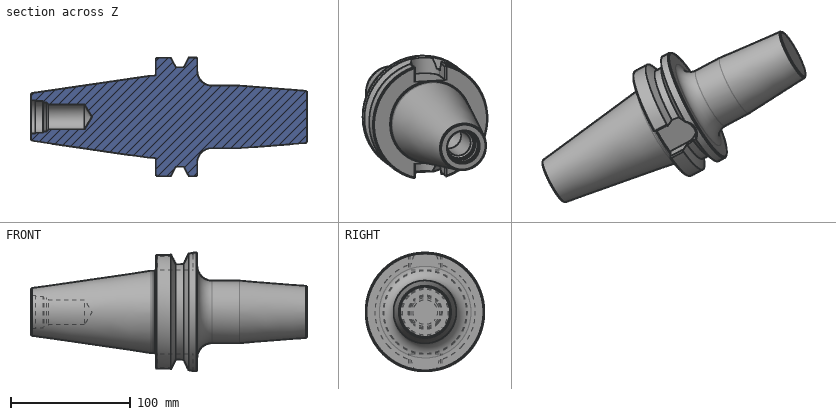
import cadquery as cq
import math

LENGTH = 231.8

TAPER_RATE = 7 / 24
GAUGE_X = 101.8
GAUGE_DIA = 69.8
TAPER_END_X = 100.5
SHANK_CHAMFER = 1.0

RELIEF_DIA = 69.3
RELIEF_START_X = 102.0
RELIEF_END_X = 103.5
FLANGE_ROOT_DIA = 70.7

FLANGE_DIA = 100.0
FLANGE_FRONT_X = 104.8
FLANGE_BACK_X = 139.8
FLANGE_CHAMFER = 1.0
GROOVE_DIA = 84.1
GROOVE_CENTER_X = 125.0
GROOVE_FLOOR_WIDTH = 6.5
GROOVE_TOP_WIDTH = 14.8
GROOVE_START_X = GROOVE_CENTER_X - GROOVE_TOP_WIDTH / 2
GROOVE_END_X = GROOVE_CENTER_X + GROOVE_TOP_WIDTH / 2

NOSE_DIA = 52.9
NOSE_FILLET = 12.0
NOSE_CONE_X = 175.0
NOSE_CONE_ANGLE = 4.5
NOSE_CHAMFER = 1.0

SLOT_WIDTH = 25.5
SLOT_FLOOR_Z = 35.2
SLOT_CHAMFER = 1.5
SLOT_END_X = 135.8

MOUTH_DIA = 28.7
MOUTH_DEPTH = 0.5
RECESS_DIA = 27.8
RECESS_DEPTH = 3.5
PILOT_DIA = 26.5
PILOT_DEPTH = 9.7
NECK_DIA = 24.0
NECK_START_DEPTH = 10.7
NECK_END_DEPTH = 13.0
THREAD_DIA = 20.6
BORE_DEPTH = 45.0
DRILL_TIP_ANGLE = 118


def make_body():
    """Revolve the outer profile about the X axis."""
    shank_radius = (GAUGE_DIA - GAUGE_X * TAPER_RATE) / 2
    taper_end_radius = (GAUGE_DIA - (GAUGE_X - TAPER_END_X) * TAPER_RATE) / 2
    flange_radius = FLANGE_DIA / 2
    nose_radius = NOSE_DIA / 2
    nose_slope = math.tan(math.radians(NOSE_CONE_ANGLE))
    tip_radius = nose_radius - (LENGTH - NOSE_CONE_X) * nose_slope
    arc_offset = NOSE_FILLET * (1 - math.sqrt(0.5))
    profile = (
        cq.Workplane("XY")
        .moveTo(0, 0)
        .lineTo(0, shank_radius - SHANK_CHAMFER)
        .lineTo(SHANK_CHAMFER, shank_radius + SHANK_CHAMFER * TAPER_RATE / 2)
        .lineTo(TAPER_END_X, taper_end_radius)
        .lineTo(RELIEF_START_X, RELIEF_DIA / 2)
        .lineTo(RELIEF_END_X, RELIEF_DIA / 2)
        .lineTo(FLANGE_FRONT_X, FLANGE_ROOT_DIA / 2)
        .lineTo(FLANGE_FRONT_X, flange_radius - FLANGE_CHAMFER)
        .lineTo(FLANGE_FRONT_X + FLANGE_CHAMFER, flange_radius)
        .lineTo(GROOVE_START_X, flange_radius)
        .lineTo(GROOVE_CENTER_X - GROOVE_FLOOR_WIDTH / 2, GROOVE_DIA / 2)
        .lineTo(GROOVE_CENTER_X + GROOVE_FLOOR_WIDTH / 2, GROOVE_DIA / 2)
        .lineTo(GROOVE_END_X, flange_radius)
        .lineTo(FLANGE_BACK_X - FLANGE_CHAMFER, flange_radius)
        .lineTo(FLANGE_BACK_X, flange_radius - FLANGE_CHAMFER)
        .lineTo(FLANGE_BACK_X, nose_radius + NOSE_FILLET)
        .threePointArc(
            (FLANGE_BACK_X + arc_offset, nose_radius + arc_offset),
            (FLANGE_BACK_X + NOSE_FILLET, nose_radius),
        )
        .lineTo(NOSE_CONE_X, nose_radius)
        .lineTo(LENGTH - NOSE_CHAMFER, tip_radius + NOSE_CHAMFER * nose_slope)
        .lineTo(LENGTH, tip_radius - NOSE_CHAMFER)
        .lineTo(LENGTH, 0)
        .close()
    )
    return profile.revolve(360, (0, 0, 0), (1, 0, 0))


def make_bore():
    """Stepped blind bore in the small end, closed by a drill tip cone."""
    tip_depth = THREAD_DIA / 2 / math.tan(math.radians(DRILL_TIP_ANGLE / 2))
    thread_chamfer = (NECK_DIA - THREAD_DIA) / 2
    profile = (
        cq.Workplane("XY")
        .moveTo(0, 0)
        .lineTo(0, MOUTH_DIA / 2)
        .lineTo(MOUTH_DEPTH, RECESS_DIA / 2)
        .lineTo(RECESS_DEPTH, RECESS_DIA / 2)
        .lineTo(RECESS_DEPTH, PILOT_DIA / 2)
        .lineTo(PILOT_DEPTH, PILOT_DIA / 2)
        .lineTo(NECK_START_DEPTH, NECK_DIA / 2)
        .lineTo(NECK_END_DEPTH, NECK_DIA / 2)
        .lineTo(NECK_END_DEPTH + thread_chamfer, THREAD_DIA / 2)
        .lineTo(BORE_DEPTH, THREAD_DIA / 2)
        .lineTo(BORE_DEPTH + tip_depth, 0)
        .close()
    )
    return profile.revolve(360, (0, 0, 0), (1, 0, 0))


def make_slot():
    """Cutter for the +Z drive slot: straight walls, round end and chamfered edges."""
    top_z = FLANGE_DIA / 2
    depth = top_z - SLOT_FLOOR_Z
    half_width = SLOT_WIDTH / 2
    arc_x = SLOT_END_X - half_width
    channel = (
        cq.Workplane("XY", origin=(FLANGE_FRONT_X, 0, SLOT_FLOOR_Z))
        .box(arc_x - FLANGE_FRONT_X, SLOT_WIDTH, depth, centered=(False, True, False))
    )
    round_end = cq.Workplane("XY", origin=(arc_x, 0, SLOT_FLOOR_Z)).circle(half_width).extrude(depth)
    rim_chamfer = cq.Workplane("XY").add(
        cq.Solid.makeCone(
            half_width, half_width + SLOT_CHAMFER, SLOT_CHAMFER,
            pnt=cq.Vector(arc_x, 0, top_z - SLOT_CHAMFER), dir=cq.Vector(0, 0, 1),
        )
    )
    front_chamfer = (
        cq.Workplane("XY", origin=(0, 0, SLOT_FLOOR_Z))
        .moveTo(FLANGE_FRONT_X, half_width + SLOT_CHAMFER)
        .lineTo(FLANGE_FRONT_X + SLOT_CHAMFER, half_width)
        .lineTo(FLANGE_FRONT_X + SLOT_CHAMFER, -half_width)
        .lineTo(FLANGE_FRONT_X, -half_width - SLOT_CHAMFER)
        .close()
        .extrude(depth)
    )
    rim_z = math.sqrt(top_z ** 2 - (half_width + SLOT_CHAMFER) ** 2)
    ring_width = GROOVE_START_X - FLANGE_FRONT_X
    rise = top_z - rim_z
    side_chamfer = (
        cq.Workplane("YZ", origin=(FLANGE_FRONT_X, 0, 0))
        .moveTo(-half_width, rim_z - SLOT_CHAMFER)
        .lineTo(half_width, rim_z - SLOT_CHAMFER)
        .lineTo(half_width + SLOT_CHAMFER + rise, top_z)
        .lineTo(-half_width - SLOT_CHAMFER - rise, top_z)
        .close()
        .extrude(ring_width)
    )
    return channel.union(round_end).union(rim_chamfer).union(front_chamfer).union(side_chamfer)


slot = make_slot()
opposite_slot = slot.rotate((0, 0, 0), (1, 0, 0), 180)
result = make_body().cut(make_bore()).cut(slot).cut(opposite_slot)